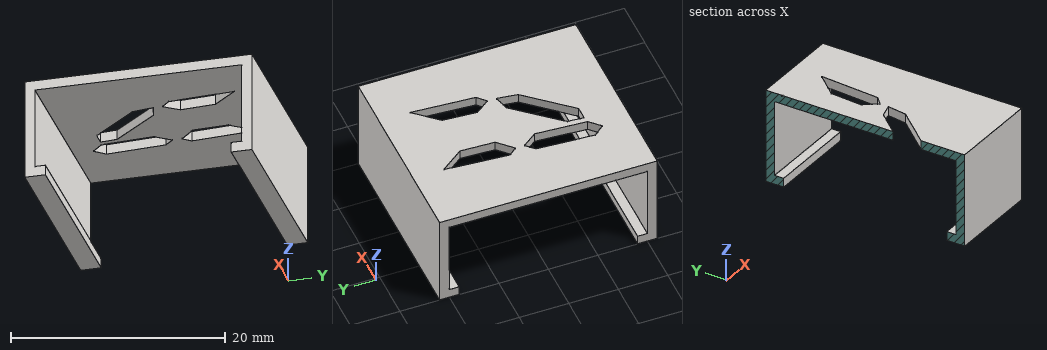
import cadquery as cq

length = 20.0
width = 22.0
height = 10.0
wall = 1.0
lip_reach = 1.0

upper_left_segment = [
    (-3.5, 7.9),
    (-1.75, 5.55),
    (-1.9, 2.05),
    (-3.35, 0.6),
    (-4.0, 1.4),
]
upper_right_segment = [
    (4.85, 7.9),
    (2.75, 5.5),
    (2.5, 2.05),
    (3.55, 0.6),
    (4.4, 1.4),
]
lower_left_segment = [
    (-3.35, -0.3),
    (-4.15, -1.15),
    (-4.55, -7.0),
    (-3.65, -8.05),
    (-2.6, -7.0),
    (-2.25, -1.8),
]
diagonal_segment = [
    (3.55, -0.3),
    (2.05, -0.7),
    (-1.85, -5.25),
    (-2.0, -6.9),
    (-0.65, -6.9),
    (3.25, -2.4),
]
segments = [
    upper_left_segment,
    upper_right_segment,
    lower_left_segment,
    diagonal_segment,
]


def block(size_y, bottom, top):
    """Full-length block centred on X and Y between two heights."""
    return (
        cq.Workplane("XY")
        .workplane(offset=bottom)
        .rect(length, size_y)
        .extrude(top - bottom)
    )


def channel():
    """C-shaped channel along X, open at both ends and between its bottom lips."""
    inner_width = width - 2 * wall
    mouth_width = inner_width - 2 * lip_reach
    cavity = block(inner_width, wall, height - wall)
    mouth = block(mouth_width, 0, wall)
    return block(width, 0, height).cut(cavity).cut(mouth)


def segment_window(corners):
    """Prism that cuts one segment through the top plate."""
    return (
        cq.Workplane("XY")
        .workplane(offset=height - wall)
        .polyline(corners)
        .close()
        .extrude(wall)
    )


result = channel()
for corners in segments:
    result = result.cut(segment_window(corners))